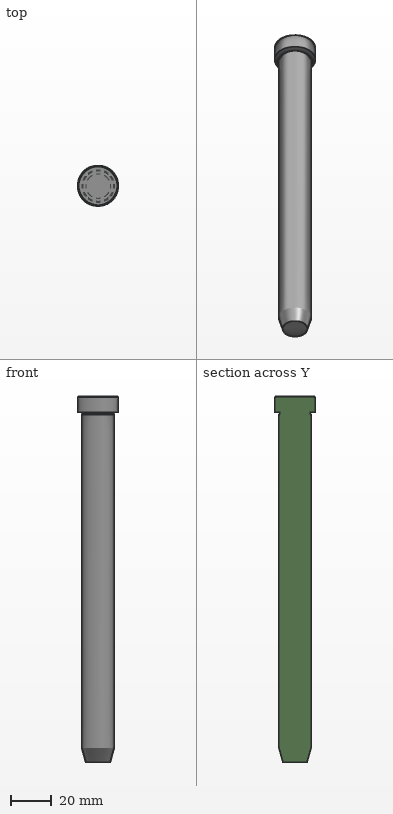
import cadquery as cq

total_length = 180
head_diameter = 20.0
head_height = 8.0
head_chamfer = 0.5

shank_radius = 16.0 / 2
groove_depth = 0.5

tip_radius = 12.0 / 2
tip_length = 7.0

head_radius = head_diameter / 2
head_bottom = total_length - head_height
groove_radius = shank_radius - groove_depth
groove_middle = head_bottom - groove_depth
groove_bottom = groove_middle - groove_depth

profile = (
    cq.Workplane("XZ")
    .moveTo(0, 0)
    .lineTo(tip_radius, 0)
    .lineTo(shank_radius, tip_length)
    .lineTo(shank_radius, groove_bottom)
    .lineTo(groove_radius, groove_middle)
    .radiusArc((shank_radius, head_bottom), groove_depth)
    .lineTo(head_radius, head_bottom)
    .lineTo(head_radius, total_length - head_chamfer)
    .lineTo(head_radius - head_chamfer, total_length)
    .lineTo(0, total_length)
    .close()
)

result = profile.revolve(360, (0, 0, 0), (0, 1, 0))